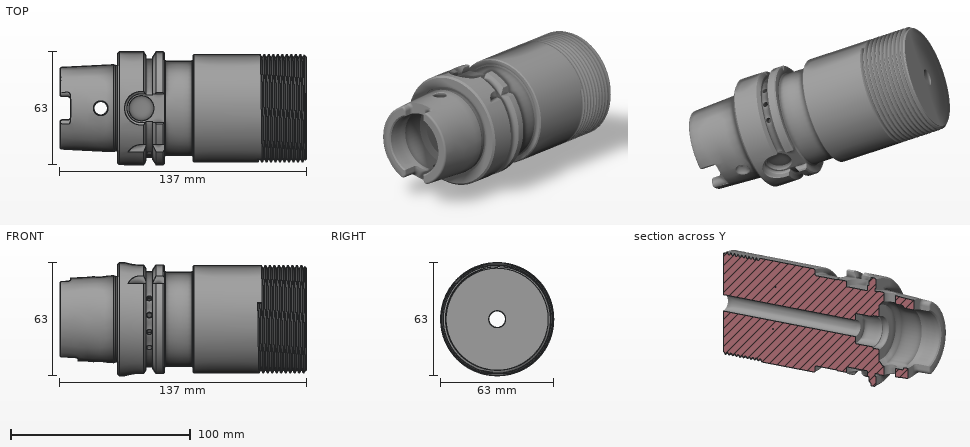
import cadquery as cq
import math


shank_length = 32.0
taper_tip_radius = 22.75
taper_base_radius = 24.25
taper_base_x = -2.3
relief_radius = 23.9
relief_x = -1.3
face_recess_radius = 25.3
face_recess_depth = 0.5
tip_edge_radius = 1.1

flange_radius = 31.5
flange_length = 26.0
flange_front_chamfer = 1.0
flange_back_chamfer = 0.7
groove_radius = 27.5
groove_start = 15.9
groove_end = 19.4
groove_lip_start = 14.5
groove_lip_end = 21.4
groove_lip_radius = 29.0
groove_back_lip_radius = 28.4

neck_radius = 26.25
neck_collar_radius = 27.0
neck_collar_length = 0.7
body_radius = 30.0
body_start = 42.0
body_end = 105.0
body_chamfer = 0.6
end_chamfer = 1.6

thread_pitch = 2.5
thread_start_x = 79.0
thread_start_z = 9.2
thread_depth = 0.613 * thread_pitch
thread_crest_width = thread_pitch / 8
thread_root_width = thread_pitch / 4
thread_overshoot = 0.3

mouth_radius = 17.1
mouth_chamfer = 0.7
mouth_depth = 13.0
cavity_radius = 18.5
clamp_cone_angle = 60.0
cavity_floor_radius = 15.9
cavity_floor_x = -2.0
tube_seat_radius = 9.3
tube_seat_depth = 4.0
tube_seat_chamfer = 0.3
tube_bore_radius = 8.6
tube_bore_depth = 16.0
through_radius = 4.6

tip_slot_half_width = 6.4
tip_slot_edge_radius = 2.5
tip_slot_edge_top = 21.1
tip_slot_corner_radius = 1.5
top_slot_depth = 5.8
bottom_slot_depth = 9.9

cross_hole_x = -9.4
cross_hole_radius = 3.75
cross_hole_bevel = 0.35

keyway_x = 13.2
keyway_floor = 26.5
keyway_half_width = 8.0
keyway_front_rim = 9.35
keyway_back_rim = 8.7
keyway_recess_radius = 7.0
keyway_recess_depth = 3.2

notch_wall_y = -20.2
notch_floor_z = 20.0
notch_cutter_radius = 8.5

balance_hole_radius = 1.5
balance_hole_depth = 4.0
balance_hole_angles = (25, 5, -15, -35)

clearance = 5.0


def revolve_about_x(points):
    """Solid of revolution about X from an (x, radius) outline."""
    return cq.Workplane("XY").polyline(points).close().revolve(360, (0, 0, 0), (1, 0, 0))


def outer_body():
    """Turned outline of shank, flange, neck and body."""
    return revolve_about_x([
        (-shank_length, 0),
        (-shank_length, taper_tip_radius),
        (taper_base_x, taper_base_radius),
        (relief_x, relief_radius),
        (face_recess_depth, relief_radius),
        (face_recess_depth, face_recess_radius),
        (0, face_recess_radius),
        (0, flange_radius - flange_front_chamfer),
        (flange_front_chamfer, flange_radius),
        (groove_lip_start, flange_radius),
        (groove_start, groove_lip_radius),
        (groove_start, groove_radius),
        (groove_end, groove_radius),
        (groove_end, groove_back_lip_radius),
        (groove_lip_end, flange_radius),
        (flange_length - flange_back_chamfer, flange_radius),
        (flange_length, flange_radius - flange_back_chamfer),
        (flange_length, neck_collar_radius),
        (flange_length + neck_collar_length, neck_radius),
        (body_start - neck_collar_length, neck_radius),
        (body_start, neck_collar_radius),
        (body_start, body_radius - body_chamfer),
        (body_start + body_chamfer, body_radius),
        (body_end - end_chamfer, body_radius),
        (body_end, body_radius - end_chamfer),
        (body_end, 0),
    ])


def bores():
    """Stepped axial bores: shank mouth, clamping cavity, tube seat and through hole."""
    tip = -shank_length
    clamp_x = tip + mouth_depth
    clamp_length = (cavity_radius - mouth_radius) / math.tan(math.radians(clamp_cone_angle))
    floor_cone = cavity_radius - cavity_floor_radius
    tube_seat_x = cavity_floor_x + tube_seat_depth
    tube_floor_x = cavity_floor_x + tube_bore_depth
    return revolve_about_x([
        (tip, 0),
        (tip, mouth_radius + mouth_chamfer),
        (tip + mouth_chamfer, mouth_radius),
        (clamp_x, mouth_radius),
        (clamp_x + clamp_length, cavity_radius),
        (cavity_floor_x - floor_cone, cavity_radius),
        (cavity_floor_x, cavity_floor_radius),
        (cavity_floor_x, tube_seat_radius + tube_seat_chamfer),
        (cavity_floor_x + tube_seat_chamfer, tube_seat_radius),
        (tube_seat_x, tube_seat_radius),
        (tube_seat_x, tube_bore_radius),
        (tube_floor_x, tube_bore_radius),
        (tube_floor_x, through_radius),
        (body_end, through_radius),
        (body_end, 0),
    ])


def tip_slot(depth):
    """Cutter for the upper drive slot, flaring around the rounded outer edges."""
    half = tip_slot_half_width
    radius = tip_slot_edge_radius
    edge_bottom = tip_slot_edge_top - radius
    arc_offset = radius * (1 - math.sqrt(0.5))
    flare = half + radius
    height = taper_base_radius + clearance
    return (
        cq.Workplane("YZ", origin=(-shank_length - clearance, 0, 0))
        .moveTo(-half, 0)
        .lineTo(half, 0)
        .lineTo(half, edge_bottom)
        .threePointArc((half + arc_offset, tip_slot_edge_top - arc_offset), (flare, tip_slot_edge_top))
        .lineTo(flare, height)
        .lineTo(-flare, height)
        .lineTo(-flare, tip_slot_edge_top)
        .threePointArc((-half - arc_offset, tip_slot_edge_top - arc_offset), (-half, edge_bottom))
        .close()
        .extrude(depth + clearance)
        .edges("|Z and >X")
        .fillet(tip_slot_corner_radius)
    )


def cross_hole():
    """Radial hole through both shank walls."""
    length = 2 * (taper_base_radius + clearance)
    return cq.Workplane("XY", origin=(cross_hole_x, 0, -length / 2)).circle(cross_hole_radius).extrude(length)


def bevel_cross_hole(body):
    """Break the two outer edges of the radial hole."""
    reach = cross_hole_radius + cross_hole_bevel
    for near, far in ((cavity_radius, flange_radius), (-flange_radius, -cavity_radius)):
        box = cq.selectors.BoxSelector(
            (cross_hole_x - reach, -reach, near), (cross_hole_x + reach, reach, far)
        )
        body = body.edges(box).chamfer(cross_hole_bevel)
    return body


def keyway_rim(start_x, end_x, width):
    """Prism that bevels both keyway walls at 45 degrees up to the given half width."""
    half = keyway_half_width
    bevel = width - half
    start_z = math.sqrt(flange_radius**2 - width**2) - bevel
    top = flange_radius + clearance
    return (
        cq.Workplane("YZ", origin=(start_x, 0, 0))
        .polyline([
            (-half, start_z),
            (half, start_z),
            (width, start_z + bevel),
            (width, top),
            (-width, top),
            (-width, start_z + bevel),
        ])
        .close()
        .extrude(end_x - start_x)
    )


def keyway_pocket():
    """Round front end of the keyway, bevelled at 45 degrees below its rim."""
    bevel = keyway_front_rim - keyway_half_width
    start_z = math.sqrt(flange_radius**2 - keyway_front_rim**2) - bevel
    return (
        cq.Workplane("XZ")
        .polyline([
            (0, keyway_floor),
            (keyway_half_width, keyway_floor),
            (keyway_half_width, start_z),
            (keyway_front_rim, start_z + bevel),
            (keyway_front_rim, flange_radius + clearance),
            (0, flange_radius + clearance),
        ])
        .close()
        .revolve(360, (0, 0, 0), (0, 1, 0))
        .translate((keyway_x, 0, 0))
    )


def keyway():
    """Cutter for the upper keyway: round front end, straight run and round recess."""
    length = flange_length - keyway_x
    height = flange_radius + clearance - keyway_floor
    floor = cq.Workplane("XY", origin=(keyway_x, 0, keyway_floor))
    run = floor.center(length / 2, 0).rect(length, 2 * keyway_half_width).extrude(height)
    recess = floor.circle(keyway_recess_radius).extrude(-keyway_recess_depth)
    front_pocket = keyway_pocket().intersect(
        cq.Workplane("XY").box(2 * groove_start, 2 * flange_radius, 4 * flange_radius)
    )
    return (
        front_pocket.union(run)
        .union(keyway_rim(keyway_x, groove_start, keyway_front_rim))
        .union(keyway_rim(groove_end, flange_length, keyway_back_rim))
        .union(recess)
    )


def index_notch():
    """Square-cornered milled step through the groove and the rear flange rim."""
    radius = notch_cutter_radius
    height = flange_radius - notch_floor_z
    length = flange_length - keyway_x
    floor = cq.Workplane("XY", origin=(keyway_x, notch_wall_y - radius, notch_floor_z))
    run = floor.center(length / 2, 0).rect(length, 2 * radius).extrude(height)
    return floor.circle(radius).extrude(height).union(run)


def balance_hole(angle):
    """Radial blind hole in the groove floor, turned from -Y towards +Z by the angle."""
    middle_x = (groove_start + groove_end) / 2
    return (
        cq.Workplane("XZ", origin=(middle_x, -groove_radius + balance_hole_depth, 0))
        .circle(balance_hole_radius)
        .extrude(balance_hole_depth + clearance)
        .rotate((0, 0, 0), (1, 0, 0), -angle)
    )


def thread_groove():
    """Helical groove of trapezoidal section, starting square on the -Y side."""
    slope = (thread_pitch - thread_crest_width - thread_root_width) / 2 / thread_depth
    root_half = thread_root_width / 2
    outer_half = root_half + slope * (thread_depth + thread_overshoot)
    root = body_radius - thread_depth
    length = body_end + thread_pitch - thread_start_x
    helix = cq.Wire.makeHelix(thread_pitch, length, body_radius)
    start_angle = math.degrees(math.asin(thread_start_z / body_radius))
    groove = (
        cq.Workplane("XZ")
        .polyline([
            (root, -root_half),
            (root, root_half),
            (body_radius + thread_overshoot, outer_half),
            (body_radius + thread_overshoot, -outer_half),
        ])
        .close()
        .sweep(cq.Workplane(obj=helix), isFrenet=True)
    )
    return (
        groove.rotate((0, 0, 0), (0, 1, 0), 90)
        .rotate((0, 0, 0), (1, 0, 0), -90 - start_angle)
        .translate((thread_start_x, 0, 0))
    )


result = outer_body().cut(thread_groove())
result = result.cut(cross_hole())
result = bevel_cross_hole(result)
result = result.cut(tip_slot(top_slot_depth))
result = result.cut(tip_slot(bottom_slot_depth).mirror("XY"))
result = result.faces("<X").edges().fillet(tip_edge_radius)
result = result.cut(bores())
result = result.cut(keyway()).cut(keyway().mirror("XY"))
result = result.cut(index_notch())
for hole_angle in balance_hole_angles:
    result = result.cut(balance_hole(hole_angle))